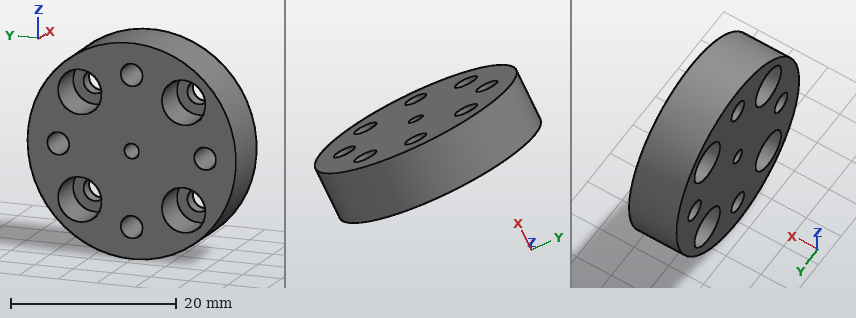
import cadquery as cq

disc_diameter = 27.0
disc_thickness = 6.85

center_hole_diameter = 1.9

bolt_circle_radius = 9.5
holes_per_set = 4
pitch_angle = 360 / holes_per_set
plain_hole_diameter = 2.8
screw_hole_diameter = 2.95
counterbore_diameter = 5.62
counterbore_depth = 5.0


def front_face(body):
    """Workplane centred on the -X face, with its normal pointing out of the disc."""
    return body.faces("<X").workplane(origin=(0, 0, 0))


def bolt_circle(body, start_angle):
    """Hole centres of one set, spaced evenly around the bolt circle."""
    return front_face(body).polarArray(bolt_circle_radius, start_angle, 360, holes_per_set)


disc = cq.Workplane("YZ").circle(disc_diameter / 2).extrude(disc_thickness)
disc = front_face(disc).hole(center_hole_diameter)
disc = bolt_circle(disc, 0).hole(plain_hole_diameter)
result = bolt_circle(disc, pitch_angle / 2).cboreHole(
    screw_hole_diameter, counterbore_diameter, counterbore_depth
)